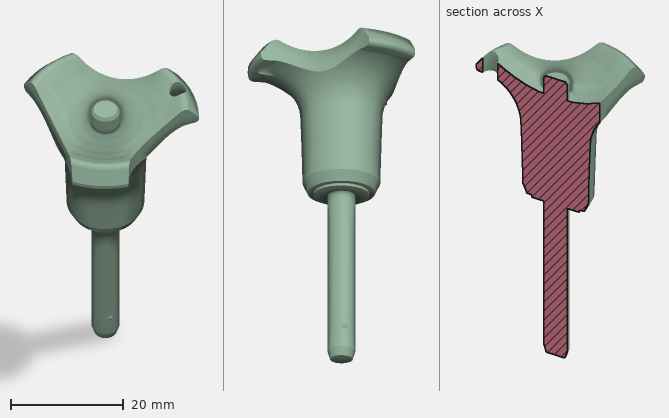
import cadquery as cq
import math


pin_diameter = 5.0
pin_length = 31.1
tip_diameter = 4.0
tip_height = 1.55
pin_radius = pin_diameter / 2

ball_radius = 0.75
ball_projection = 0.2
ball_height_above_tip = 5.55
ball_offset = pin_radius + ball_projection - ball_radius

collar_radius = 5.0
collar_height = 0.5

foot_radius = 6.0
barrel_bottom_radius = 6.9
barrel_bottom_z = 2.4
barrel_top_radius = 7.28
barrel_top_z = 14.6
flare_radius = 8.2

rim_radius = 16.6
rim_bottom_z = 22.6
rim_fillet = 0.8
rim_edge_z = 23.9
dish_sphere_radius = 23.0
dish_floor_z = 22.13
crest_radius = 14.2
crest_fillet = 1.1

back_wing_angle = 90.0
back_wing_half_angle = 19.2
side_wing_angle = 203.2
side_wing_half_angle = 17.4
front_scallop_depth_y = -9.2
side_scallop_angle = 147.3
side_scallop_distance = 9.5

lanyard_hole_diameter = 3.0
lanyard_hole_y = 13.65

button_diameter = 5.0
button_top_z = 26.15
button_chamfer_height = 0.6
button_chamfer_width = 0.4
core_radius = 3.5

cutter_height = 30.0
edge_tolerance = 0.01


def polar(radius, angle):
    """Point in the XY plane at a radius and an angle in degrees."""
    return (radius * math.cos(math.radians(angle)), radius * math.sin(math.radians(angle)))


def mirrored(point):
    """Point reflected across the YZ plane."""
    return (-point[0], point[1])


def dish_z(radius):
    """Height of the spherical dish at a distance from the axis."""
    return dish_floor_z + dish_sphere_radius - math.sqrt(dish_sphere_radius**2 - radius**2)


def round_circle_edge(body, radius, height, fillet_radius):
    """Fillet the circular edge of a round body at a given radius and height."""

    def is_wanted(edge):
        if edge.geomType() != "CIRCLE":
            return False
        radius_error = abs(edge.radius() - radius)
        height_error = abs(edge.Center().z - height)
        return max(radius_error, height_error) < edge_tolerance

    return body.edges().filter(is_wanted).fillet(fillet_radius)


def make_handle_blank():
    """Full round handle, before the scallops separate the wings."""
    flare_center_r = barrel_top_radius + flare_radius
    flare_rise = rim_bottom_z - barrel_top_z
    flare_end_r = flare_center_r - math.sqrt(flare_radius**2 - flare_rise**2)
    flare_mid_angle = math.pi - math.asin(flare_rise / flare_radius) / 2
    flare_mid = (
        flare_center_r + flare_radius * math.cos(flare_mid_angle),
        barrel_top_z + flare_radius * math.sin(flare_mid_angle),
    )
    dish_mid_r = crest_radius / 2
    profile = (
        cq.Workplane("XZ")
        .moveTo(0, 0)
        .lineTo(collar_radius, 0)
        .lineTo(collar_radius, collar_height)
        .lineTo(foot_radius, collar_height)
        .lineTo(barrel_bottom_radius, barrel_bottom_z)
        .lineTo(barrel_top_radius, barrel_top_z)
        .threePointArc(flare_mid, (flare_end_r, rim_bottom_z))
        .lineTo(rim_radius, rim_bottom_z)
        .lineTo(rim_radius, rim_edge_z)
        .lineTo(crest_radius, dish_z(crest_radius))
        .threePointArc((dish_mid_r, dish_z(dish_mid_r)), (0, dish_floor_z))
        .close()
    )
    blank = profile.revolve(360, (0, 0, 0), (0, 1, 0))
    blank = round_circle_edge(blank, rim_radius, rim_bottom_z, rim_fillet)
    return round_circle_edge(blank, crest_radius, dish_z(crest_radius), crest_fillet)


def make_wing_outline():
    """Prism of the three-wing outline, tall enough to trim the whole handle."""
    back_corner = polar(rim_radius, back_wing_angle + back_wing_half_angle)
    side_upper = polar(rim_radius, side_wing_angle - side_wing_half_angle)
    side_middle = polar(rim_radius, side_wing_angle)
    side_lower = polar(rim_radius, side_wing_angle + side_wing_half_angle)
    side_scallop = polar(side_scallop_distance, side_scallop_angle)
    return (
        cq.Workplane("XY")
        .moveTo(*mirrored(back_corner))
        .threePointArc((0, rim_radius), back_corner)
        .threePointArc(side_scallop, side_upper)
        .threePointArc(side_middle, side_lower)
        .threePointArc((0, front_scallop_depth_y), mirrored(side_lower))
        .threePointArc(mirrored(side_middle), mirrored(side_upper))
        .threePointArc(mirrored(side_scallop), mirrored(back_corner))
        .close()
        .extrude(cutter_height)
    )


def make_lanyard_hole():
    return (
        cq.Workplane("XY")
        .center(0, lanyard_hole_y)
        .circle(lanyard_hole_diameter / 2)
        .extrude(cutter_height)
    )


def make_button():
    """Core face with the chamfered release button rising from it."""
    core = cq.Workplane("XY").circle(core_radius).extrude(dish_z(core_radius))
    button = (
        cq.Workplane("XY")
        .circle(button_diameter / 2)
        .extrude(button_top_z)
        .faces(">Z")
        .chamfer(button_chamfer_height, button_chamfer_width)
    )
    return core.union(button)


def make_pin():
    """Pin with its conical tip and the two locking balls."""
    pin = (
        cq.Workplane("XY")
        .circle(pin_radius)
        .extrude(-pin_length)
        .faces("<Z")
        .chamfer(tip_height, pin_radius - tip_diameter / 2)
    )
    for side in (-1, 1):
        ball_center = (side * ball_offset, 0, ball_height_above_tip - pin_length)
        pin = pin.union(cq.Workplane("XY").sphere(ball_radius).translate(ball_center))
    return pin


handle = make_handle_blank().intersect(make_wing_outline()).cut(make_lanyard_hole())
result = handle.union(make_button()).union(make_pin())